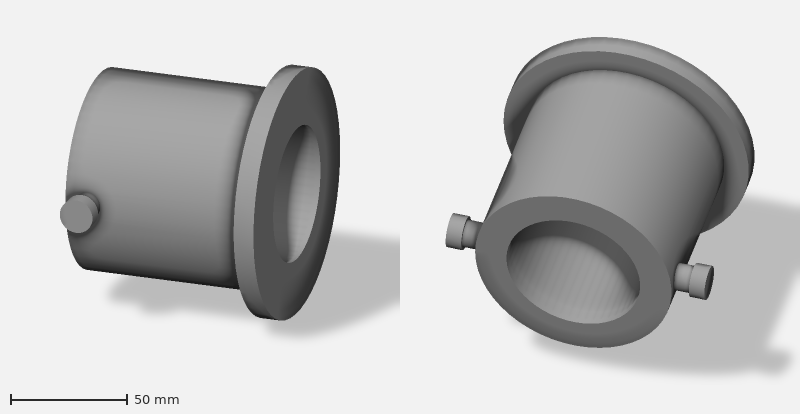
import cadquery as cq

total_length = 90.0
flange_thickness = 9.0
flange_diameter = 110.0
sleeve_diameter = 88.0
bore_diameter = 60.0

pin_span = 116.0
pin_offset = 10.0
pin_diameter = 12.0
head_diameter = 15.0
head_thickness = 7.0

wall_middle_radius = (sleeve_diameter + bore_diameter) / 4


def cylinder_x(diameter, start, end):
    """Solid cylinder on the X axis between two X positions."""
    return cq.Workplane("YZ", origin=(start, 0, 0)).circle(diameter / 2).extrude(end - start)


def headed_pin(side):
    """Pin rooted in the sleeve wall; side is +1 or -1 along Y."""
    tip = pin_span / 2
    shank_end = tip - head_thickness
    shank = (
        cq.Workplane("XZ", origin=(pin_offset, side * wall_middle_radius, 0))
        .circle(pin_diameter / 2)
        .extrude(-side * (shank_end - wall_middle_radius))
    )
    head = (
        cq.Workplane("XZ", origin=(pin_offset, side * shank_end, 0))
        .circle(head_diameter / 2)
        .extrude(-side * head_thickness)
    )
    return shank.union(head)


sleeve = cylinder_x(sleeve_diameter, 0, total_length)
flange = cylinder_x(flange_diameter, total_length - flange_thickness, total_length)
bore = cylinder_x(bore_diameter, 0, total_length)

result = sleeve.union(flange).cut(bore)
for side in (1, -1):
    result = result.union(headed_pin(side))